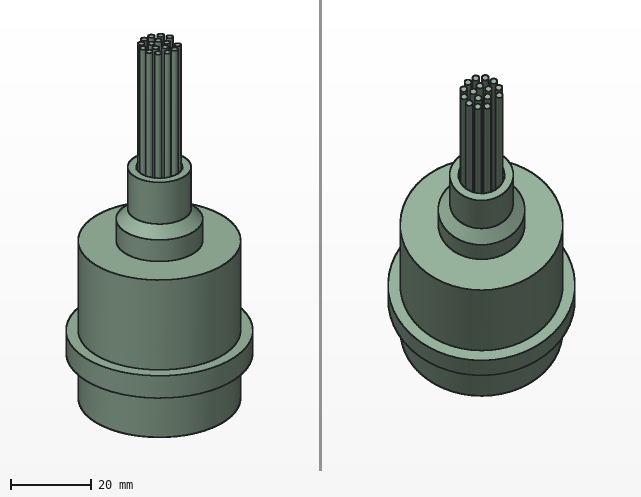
import cadquery as cq
import math

BODY_DIAMETER = 40.5
BODY_TOP = 44.8
FLANGE_DIAMETER = 46.5
FLANGE_BOTTOM = 12.9
FLANGE_TOP = 19.2

COLLAR_DIAMETER = 21.5
COLLAR_TOP = 51.0
SLEEVE_DIAMETER = 15.8
TAPER_TOP = 53.9
SLEEVE_TOP = 65.8

SLEEVE_BORE_DIAMETER = 11.5
WIRE_DIAMETER = 1.7
WIRE_TOP = 100.7
OUTER_RING_RADIUS = 4.5
OUTER_RING_PLACES = 12
INNER_RING_RADIUS = 2.0
INNER_RING_PLACES = 5


def turned_housing():
    """Revolve the body, flange, collar, taper and sleeve as one profile."""
    body_radius = BODY_DIAMETER / 2
    flange_radius = FLANGE_DIAMETER / 2
    collar_radius = COLLAR_DIAMETER / 2
    sleeve_radius = SLEEVE_DIAMETER / 2
    profile = [
        (0, 0),
        (body_radius, 0),
        (body_radius, FLANGE_BOTTOM),
        (flange_radius, FLANGE_BOTTOM),
        (flange_radius, FLANGE_TOP),
        (body_radius, FLANGE_TOP),
        (body_radius, BODY_TOP),
        (collar_radius, BODY_TOP),
        (collar_radius, COLLAR_TOP),
        (sleeve_radius, TAPER_TOP),
        (sleeve_radius, SLEEVE_TOP),
        (0, SLEEVE_TOP),
    ]
    return cq.Workplane("XZ").polyline(profile).close().revolve(360, (0, 0), (0, 1))


def ring_points(radius, places, first_place=0):
    """Evenly spaced points on a circle, numbered from +Y, starting at first_place."""
    points = []
    for place in range(first_place, places):
        angle = math.pi / 2 + 2 * math.pi * place / places
        points.append((radius * math.cos(angle), radius * math.sin(angle)))
    return points


def sleeve_bore():
    """Open the sleeve down to the top of the body."""
    return (
        cq.Workplane("XY")
        .workplane(offset=BODY_TOP)
        .circle(SLEEVE_BORE_DIAMETER / 2)
        .extrude(SLEEVE_TOP - BODY_TOP)
    )


def wires():
    """Two rings of straight wires standing on the bore floor."""
    places = ring_points(OUTER_RING_RADIUS, OUTER_RING_PLACES, first_place=1)
    places += ring_points(INNER_RING_RADIUS, INNER_RING_PLACES)
    return (
        cq.Workplane("XY")
        .workplane(offset=BODY_TOP)
        .pushPoints(places)
        .circle(WIRE_DIAMETER / 2)
        .extrude(WIRE_TOP - BODY_TOP)
    )


result = turned_housing().cut(sleeve_bore()).union(wires())